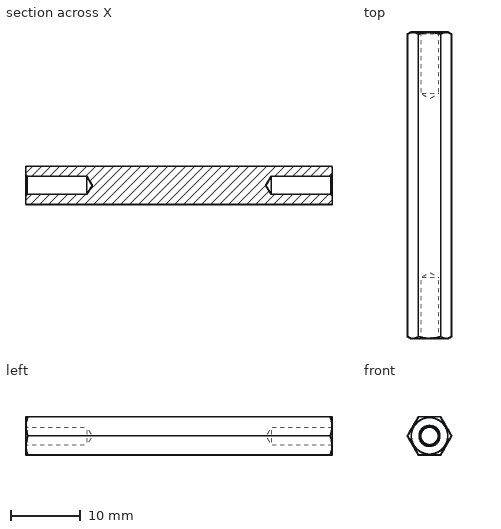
import cadquery as cq
import math

length = 44.0
across_flats = 5.5
across_corners = across_flats / math.cos(math.radians(30))

end_face_diameter = 5.25
end_chamfer_angle = 30.0

hole_diameter = 2.5
hole_depth = 8.8
drill_point_angle = 118.0
countersink_diameter = 3.0
countersink_angle = 90.0


def revolve_about_y(points):
    """Solid of revolution about Y from (radius, y) points."""
    return cq.Workplane("XY").polyline(points).close().revolve(360, (0, 0), (0, 1))


def make_hex_bar():
    bar = cq.Workplane("XZ").polygon(6, across_corners).extrude(length / 2, both=True)
    corner_radius = across_corners / 2
    face_radius = end_face_diameter / 2
    chamfer_length = (corner_radius - face_radius) * math.tan(math.radians(end_chamfer_angle))
    end = length / 2
    envelope_radius = corner_radius + chamfer_length
    shoulder = end - (envelope_radius - face_radius) * math.tan(math.radians(end_chamfer_angle))
    envelope = revolve_about_y([
        (0, -end),
        (face_radius, -end),
        (envelope_radius, -shoulder),
        (envelope_radius, shoulder),
        (face_radius, end),
        (0, end),
    ])
    return bar.intersect(envelope)


def make_hole_cutter():
    """Countersunk blind hole with a drill point, entering from the -Y end."""
    hole_radius = hole_diameter / 2
    mouth_radius = countersink_diameter / 2
    countersink_depth = (mouth_radius - hole_radius) / math.tan(math.radians(countersink_angle / 2))
    point_depth = hole_radius / math.tan(math.radians(drill_point_angle / 2))
    mouth = -length / 2
    return revolve_about_y([
        (0, mouth),
        (mouth_radius, mouth),
        (hole_radius, mouth + countersink_depth),
        (hole_radius, mouth + hole_depth),
        (0, mouth + hole_depth + point_depth),
    ])


hole = make_hole_cutter()
result = make_hex_bar().cut(hole).cut(hole.mirror("XZ"))